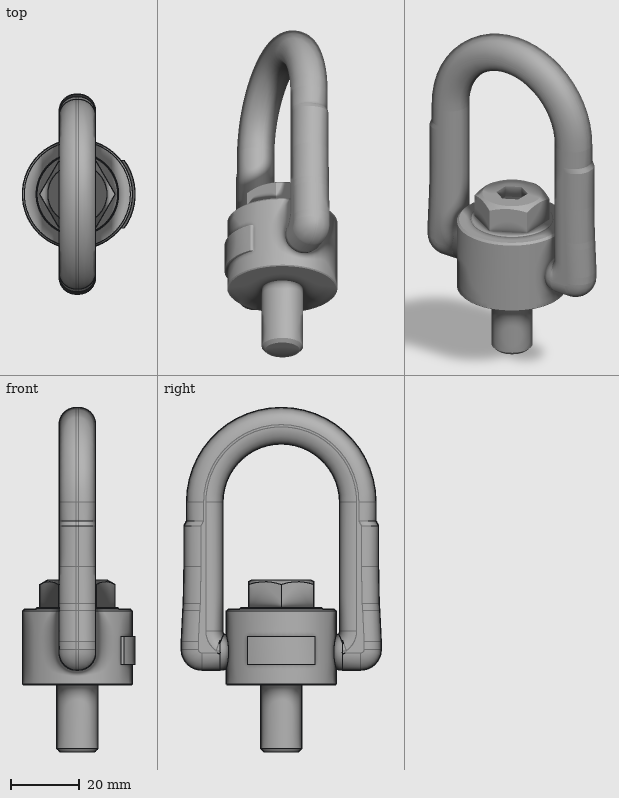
import cadquery as cq
import math


body_radius = 16.0
body_height = 22.0
body_top_chamfer = 0.6
body_bottom_chamfer = 0.3

plate_thickness = 0.8
plate_width = 19.7
plate_bottom = 5.9
plate_height = 8.2

shank_radius = 6.0
shank_length = 19.5
shank_chamfer = 1.0

flange_radius = 12.0
flange_height = 0.5
flange_chamfer = 0.3
head_height = 8.0
head_across_flats = 19.0
head_top_radius = 8.6
head_chamfer_angle = 30.0
socket_across_flats = 8.0
socket_depth = 3.3

overall_height = 100.1
bar_size = 10.65
bar_corner_radius = 5.0
bow_inner = 16.9
bow_outer = bow_inner + bar_size
bow_spring_z = overall_height - shank_length - bow_outer

step_top_z = 47.6
step_bottom_z = 46.2
step_outer = 28.3
taper_top_z = 34.4
waist_top_z = 23.6
waist_top_outer = 28.5
waist_bottom_z = 21.6
waist_bottom_outer = 28.65
taper_bottom_z = 12.6
leg_foot_outer = 29.08

foot_bottom_z = 4.25
foot_outer_radius = 6.1
foot_inner_radius = 2.1
bend_axis_z = 15.7

foot_corner_y = leg_foot_outer - foot_outer_radius
foot_corner_z = foot_bottom_z + foot_outer_radius
bend_axis_y = bow_inner - foot_inner_radius
bend_core_radius = foot_inner_radius + bar_corner_radius
foot_core_z = foot_bottom_z + bar_corner_radius
bend_angle = math.asin((bend_axis_z - foot_core_z) / bend_core_radius)
bend_end_y = bend_axis_y + bend_core_radius * math.cos(bend_angle)


def hexagon_prism(across_flats, base_z, height):
    """Hexagonal prism with two corners in the XZ plane."""
    across_corners = across_flats * 2 / math.sqrt(3)
    return cq.Workplane("XY").workplane(offset=base_z).polygon(6, across_corners).extrude(height)


def make_body():
    body = cq.Workplane("XY").circle(body_radius).extrude(body_height)
    body = body.faces(">Z").chamfer(body_top_chamfer)
    return body.faces("<Z").chamfer(body_bottom_chamfer)


def make_plate():
    """Curved plate following the body, cut off square at both ends."""
    plate_radius = body_radius + plate_thickness
    disc = cq.Workplane("XY").workplane(offset=plate_bottom).circle(plate_radius).extrude(plate_height)
    half_band = cq.Workplane("XY").box(
        plate_radius, plate_width, body_height, centered=(False, True, False)
    )
    return disc.intersect(half_band)


def make_shank():
    shank = cq.Workplane("XY").circle(shank_radius).extrude(-shank_length)
    return shank.faces("<Z").chamfer(shank_chamfer)


def make_head():
    """Flange and chamfered hexagon head with a hexagon socket."""
    flange = cq.Workplane("XY").workplane(offset=body_height).circle(flange_radius).extrude(flange_height)
    flange = flange.faces(">Z").chamfer(flange_chamfer)

    head_base = body_height + flange_height
    head_top = head_base + head_height
    hexagon_bar = hexagon_prism(head_across_flats, head_base, head_height)
    cone_slope = math.tan(math.radians(head_chamfer_angle))
    cone_radius = head_top_radius + head_height / cone_slope
    cone = (
        cq.Workplane("XZ")
        .moveTo(0, head_base)
        .lineTo(cone_radius, head_base)
        .lineTo(head_top_radius, head_top)
        .lineTo(0, head_top)
        .close()
        .revolve(360, (0, 0, 0), (0, 1, 0))
    )
    socket = hexagon_prism(socket_across_flats, head_top, -socket_depth)
    return flange.union(hexagon_bar.intersect(cone)).cut(socket)


def bar_section(inner, outer):
    """Rounded bar section running from inner to outer along Y."""
    return (
        cq.Sketch()
        .rect(bar_size, outer - inner)
        .vertices()
        .fillet(bar_corner_radius)
        .moved(cq.Location(cq.Vector(0, (inner + outer) / 2, 0)))
    )


def bar_span(z_low, outer_low, z_high, outer_high):
    """Straight or tapered length of leg between two heights."""
    low = bar_section(bow_inner, outer_low).moved(cq.Location(cq.Vector(0, 0, z_low)))
    high = bar_section(bow_inner, outer_high).moved(cq.Location(cq.Vector(0, 0, z_high)))
    return cq.Workplane("XY").placeSketch(low, high).loft(ruled=True)


def make_arch():
    """Half ring joining the tops of both legs."""
    return (
        cq.Workplane("XY")
        .workplane(offset=bow_spring_z)
        .placeSketch(bar_section(bow_inner, bow_outer))
        .revolve(180, (0, 0, 0), (1, 0, 0))
    )


def revolve_half_bar(axis_y, axis_z, base, tip, angle):
    """Half bar section from base to tip, turned downward about an axis along X.

    The flat side lies at radius base; the rounded side reaches radius tip, inward or outward.
    """
    half_width = bar_size / 2
    half_flat = half_width - bar_corner_radius
    rounding = math.copysign(bar_corner_radius, tip - base)
    shoulder = tip - rounding
    arc_mid_x = half_flat + bar_corner_radius * math.sqrt(0.5)
    arc_mid_y = shoulder + rounding * math.sqrt(0.5)
    return (
        cq.Workplane("XY", origin=(0, axis_y, axis_z))
        .moveTo(-half_width, base)
        .lineTo(-half_width, shoulder)
        .threePointArc((-arc_mid_x, arc_mid_y), (-half_flat, tip))
        .lineTo(half_flat, tip)
        .threePointArc((arc_mid_x, arc_mid_y), (half_width, shoulder))
        .lineTo(half_width, base)
        .close()
        .revolve(angle, (0, 0, 0), (-1, 0, 0))
    )


def make_foot():
    """Rounded outer corner, inner bend, domed inward bar and core of the +Y foot."""
    corner = revolve_half_bar(foot_corner_y, foot_corner_z, 0, foot_outer_radius, 90)
    bend = revolve_half_bar(
        bend_axis_y,
        bend_axis_z,
        foot_inner_radius + bar_size / 2,
        foot_inner_radius,
        math.degrees(bend_angle),
    )
    bar_axis_z = foot_bottom_z + bar_size / 2
    inward_bar = (
        cq.Workplane("XZ", origin=(0, bend_end_y, bar_axis_z))
        .placeSketch(bar_section(-bar_size / 2, bar_size / 2))
        .extrude(bend_end_y - foot_corner_y)
    )
    domed_end = cq.Workplane("XY", origin=(0, bend_end_y, bar_axis_z)).sphere(bar_size / 2)
    return corner.union(bend).union(make_foot_core()).union(inward_bar).union(domed_end)


def make_foot_core():
    """Flat-sided core that fills the foot between leg, inward bar and bend."""
    core_outer_y = leg_foot_outer - bar_corner_radius
    return (
        cq.Workplane("YZ", origin=(-bar_size / 2, 0, 0))
        .moveTo(bend_axis_y + bend_core_radius, bend_axis_z)
        .radiusArc((bend_end_y, foot_core_z), bend_core_radius)
        .lineTo(foot_corner_y, foot_core_z)
        .lineTo(core_outer_y, foot_corner_z)
        .lineTo(core_outer_y, taper_bottom_z)
        .lineTo(bow_outer - bar_corner_radius, bend_axis_z)
        .close()
        .extrude(bar_size)
    )


def make_leg():
    """The +Y leg with its foot, built as spans between heights of known outer edge."""
    stations = [
        (bow_spring_z, bow_outer),
        (step_top_z, bow_outer),
        (step_bottom_z, step_outer),
        (taper_top_z, step_outer),
        (waist_top_z, waist_top_outer),
        (waist_bottom_z, waist_bottom_outer),
        (taper_bottom_z, leg_foot_outer),
        (foot_corner_z, leg_foot_outer),
    ]
    leg = make_foot()
    for (z_high, outer_high), (z_low, outer_low) in zip(stations, stations[1:]):
        leg = leg.union(bar_span(z_low, outer_low, z_high, outer_high))
    return leg


leg = make_leg()
bow = make_arch().union(leg).union(leg.mirror("XZ"))
result = make_body().union(make_plate()).union(make_shank()).union(make_head()).union(bow)